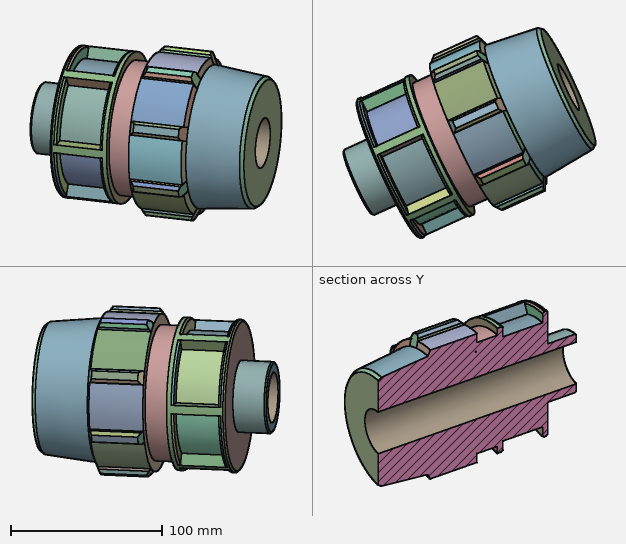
import cadquery as cq
import math


total_length = 154.0
flange_start = 22.2
collar_end = 61.5
nut_start = 77.2
nut_end = 115.5
front_flange_width = 4.3
rear_flange_width = 4.6

bore_radius = 33.4 / 2
spigot_radius = 47.7 / 2
collar_radius = 101.6 / 2
pocket_floor_radius = 42.4
body_radius = 90.4 / 2
nut_radius = 52.4
taper_start_radius = 48.0
taper_end_radius = 44.2

spigot_chamfer = 1.1
collar_chamfer = 1.2
pocket_chamfer = 1.5
pocket_chamfer_depth = 1.1
end_chamfer_length = 2.5
end_chamfer_depth = 1.8

web_count = 6
web_width = 5.9

rib_count = 8
rib_top = 56.4
rib_shoulder = 53.9
rib_top_width = 5.4
rib_base_width = 9.2
rib_lead_in = 3.4
nut_back_slope = 2.25
joint_overlap = 1.5

rib_root = taper_start_radius - joint_overlap
rib_back = nut_end - (rib_top - taper_start_radius) / nut_back_slope
nut_chamfer_start = nut_end - (nut_radius - taper_start_radius) / nut_back_slope

groove_start = flange_start + front_flange_width
groove_end = collar_end - rear_flange_width
pocket_rim_radius = collar_radius - pocket_chamfer_depth


def turned_body():
    """Solid of revolution: spigot, grooved collar, neck, nut and tapered end."""
    profile = [
        (0, 0),
        (0, spigot_radius - spigot_chamfer),
        (spigot_chamfer, spigot_radius),
        (flange_start, spigot_radius),
        (flange_start, collar_radius - collar_chamfer),
        (flange_start + collar_chamfer, collar_radius),
        (groove_start - pocket_chamfer, collar_radius),
        (groove_start, pocket_rim_radius),
        (groove_start, pocket_floor_radius),
        (groove_end, pocket_floor_radius),
        (groove_end, pocket_rim_radius),
        (groove_end + pocket_chamfer, collar_radius),
        (collar_end, collar_radius),
        (collar_end, body_radius),
        (nut_start, body_radius),
        (nut_start, nut_radius),
        (nut_chamfer_start, nut_radius),
        (nut_end, taper_start_radius),
        (total_length - end_chamfer_length, taper_end_radius),
        (total_length, taper_end_radius - end_chamfer_depth),
        (total_length, 0),
    ]
    return cq.Workplane("XY").polyline(profile).close().revolve(360, (0, 0, 0), (1, 0, 0))


def collar_webs():
    """Webs joining the two flanges, with tops rounded to the collar radius."""
    web_start = groove_start - pocket_chamfer
    web_length = groove_end + pocket_chamfer - web_start
    envelope = cq.Workplane("YZ").workplane(offset=web_start).circle(collar_radius).extrude(web_length)
    webs = cq.Workplane("XY")
    for i in range(web_count // 2):
        bar = cq.Workplane("XY").box(web_length, 2 * (collar_radius + joint_overlap), web_width)
        bar = bar.translate((web_start + web_length / 2, 0, 0))
        webs = webs.add(bar.rotate((0, 0, 0), (1, 0, 0), i * 360 / web_count))
    return webs.combine().intersect(envelope)


def grip_rib():
    """One nut rib pointing along +Z, bevelled along its top and sloped at both ends."""
    half_top = rib_top_width / 2
    half_base = rib_base_width / 2
    section = [
        (-half_base, rib_root),
        (-half_base, rib_shoulder),
        (-half_top, rib_top),
        (half_top, rib_top),
        (half_base, rib_shoulder),
        (half_base, rib_root),
    ]
    bar = (
        cq.Workplane("YZ").workplane(offset=nut_start)
        .polyline(section).close().extrude(nut_end - nut_start)
    )
    front_foot = math.sqrt(nut_radius**2 - half_base**2)
    side = [
        (nut_start, rib_root),
        (nut_start, front_foot),
        (nut_start + rib_lead_in, rib_top),
        (rib_back, rib_top),
        (nut_end, taper_start_radius),
        (nut_end, rib_root),
    ]
    side_shape = cq.Workplane("XZ").polyline(side).close().extrude(half_base, both=True)
    return bar.intersect(side_shape)


result = turned_body().union(collar_webs())

rib = grip_rib()
rib_pitch = 360 / rib_count
for i in range(rib_count):
    result = result.union(rib.rotate((0, 0, 0), (1, 0, 0), (i + 0.5) * rib_pitch))

bore = cq.Workplane("YZ").circle(bore_radius).extrude(total_length)
result = result.cut(bore)